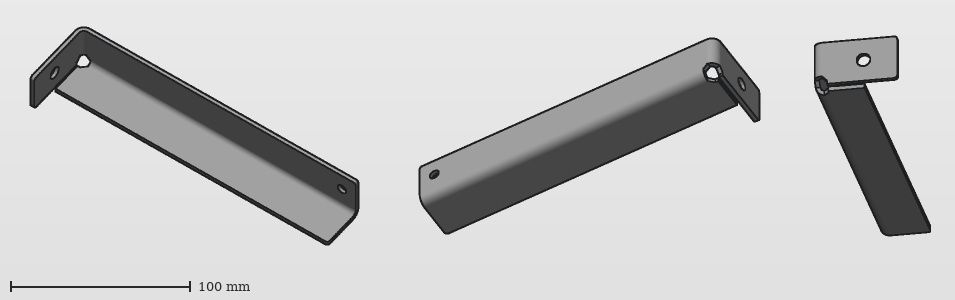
import cadquery as cq

length = 191.5
depth = 47.9
height = 28.7

thickness = 2.7
inner_bend_radius = 3.0
outer_bend_radius = inner_bend_radius + thickness
corner_radius = 2.0

bottom_flange_width = 28.7
flange_gap = 0.4
flange_start = thickness + flange_gap

relief_size = 8.0
relief_chamfer = 3.0

wall_hole_diameter = 5.7
wall_hole_end_distance = 9.5
wall_hole_height = 17.2
end_hole_diameter = 7.7
end_hole_back_distance = 28.7
end_hole_height = (flange_start + height) / 2


def bent_sheet(plane, wall_size, flange_size, start, end):
    """L-shaped sheet: wall along local X, flange along local -Y, from start to end."""
    return (
        cq.Workplane(plane)
        .workplane(offset=start)
        .moveTo(wall_size, 0)
        .lineTo(outer_bend_radius, 0)
        .radiusArc((0, -outer_bend_radius), -outer_bend_radius)
        .lineTo(0, -flange_size)
        .lineTo(thickness, -flange_size)
        .lineTo(thickness, -outer_bend_radius)
        .radiusArc((outer_bend_radius, -thickness), inner_bend_radius)
        .lineTo(wall_size, -thickness)
        .close()
        .extrude(end - start)
    )


def end_and_wall():
    """Back wall and end flange, joined by the vertical bend."""
    sheet = bent_sheet("XY", length, depth, flange_start, height)
    sheet = sheet.edges("|X and <Y").fillet(corner_radius)
    return sheet.edges("|Y and >X and >Z").fillet(corner_radius)


def bottom_and_wall():
    """Bottom flange and a low strip of the back wall, joined by the long bend."""
    profile_plane = cq.Plane(origin=(0, 0, 0), xDir=(0, 0, 1), normal=(-1, 0, 0))
    lower_wall_top = relief_size
    sheet = bent_sheet(profile_plane, lower_wall_top, bottom_flange_width, -length, -flange_start)
    return sheet.edges("|Z and >X and <Y").fillet(corner_radius)


def wall_below_bend():
    """Square strip of back wall that the long bend replaces."""
    strip = cq.Workplane("XY").box(
        length - relief_size, thickness, outer_bend_radius, centered=False
    )
    return strip.translate((relief_size, -thickness, 0))


def corner_relief():
    """Cube at the bend corner with its three inner edges chamfered."""
    cube = cq.Workplane("XY").box(relief_size, relief_size, relief_size, centered=False)
    cube = cube.translate((0, -relief_size, 0))
    inner_edges = "(|X and <Y and >Z) or (|Y and >X and >Z) or (|Z and >X and <Y)"
    return cube.edges(inner_edges).chamfer(relief_chamfer)


def wall_hole():
    """Hole through the back wall near its free end."""
    return (
        cq.Workplane("XZ")
        .center(length - wall_hole_end_distance, wall_hole_height)
        .circle(wall_hole_diameter / 2)
        .extrude(thickness)
    )


def end_hole():
    """Hole through the end flange."""
    return (
        cq.Workplane("YZ")
        .center(-end_hole_back_distance, end_hole_height)
        .circle(end_hole_diameter / 2)
        .extrude(thickness)
    )


wall_above_bend = end_and_wall().cut(wall_below_bend())
result = wall_above_bend.union(bottom_and_wall())
result = result.cut(corner_relief()).cut(wall_hole()).cut(end_hole())